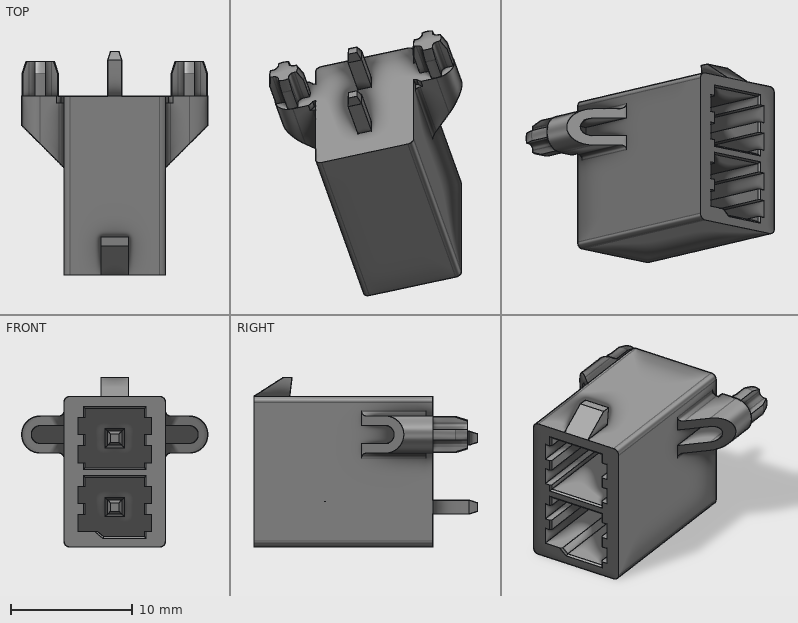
import cadquery as cq
import math


body_width = 8.4
body_length = 14.8
body_height = 12.47
body_corner_radius = 0.5

pin_pitch = 5.7
lower_pin_z = 3.31
pin_heights = [lower_pin_z, lower_pin_z + pin_pitch]
pin_size = 1.17
pin_tip_size = 0.7
pin_taper_length = 0.7
pin_front_y = 5.55
pin_rear_y = 18.5

pocket_size = 4.9
pocket_half = pocket_size / 2
pocket_depth = 11.1
lead_in = 0.15
slot_span = 6.07
slot_height = 1.42
upper_slot_bottom = 0.3
lower_slot_bottom = -2.04
pin_seat_size = 1.6
pin_seat_depth = (pin_seat_size - pin_size) / 2

key_top = lower_slot_bottom
key_top_x = -1.4
key_flank_angle = math.radians(40)
key_bottom_x = key_top_x + (key_top + pocket_half) / math.tan(key_flank_angle)

latch_width = 2.3
latch_height = 1.55
latch_crest_front_y = 2.42
latch_crest_rear_y = 3.16
latch_base_rear_y = 2.98

ear_span = 15.4
ear_radius = 1.54
ear_z = 9.3
ear_axis_x = ear_span / 2 - ear_radius
ear_root_radius = 0.4
ear_tip_length = 2.4
ear_slot_radius = 0.74
ear_slot_floor_thickness = 1.0
relief_length = 0.55
relief_width = 0.63
relief_flat_width = 0.25
relief_floor_rise = 0.1
relief_depth = 0.37
relief_crown = 0.04

peg_radius = 1.5
peg_tip_radius = 1.18
peg_length = 2.87
peg_taper_length = 1.0
peg_arm_width = 0.87
peg_arm_fillet = 0.5


def plane_at(y, z=0.0, x=0.0):
    """XZ sketch plane whose extrusions run toward +Y, with local X along -X and local Y along +Z."""
    return cq.Workplane(cq.Plane(origin=(x, y, z), xDir=(-1, 0, 0), normal=(0, 1, 0)))


def block(width, y_start, y_end, z_bottom, height):
    """Box centred on X = 0 between two Y positions."""
    return cq.Workplane("XY").box(width, y_end - y_start, height, centered=(True, False, False)).translate(
        (0, y_start, z_bottom)
    )


def square_frustum(y_start, size_start, y_end, size_end, z):
    """Square pyramid frustum along Y."""
    return (
        plane_at(y_start, z)
        .rect(size_start, size_start)
        .workplane(offset=y_end - y_start)
        .rect(size_end, size_end)
        .loft(ruled=True)
    )


def make_pin(z):
    """Square contact with a tapered point at both ends."""
    shank_front_y = pin_front_y + pin_taper_length
    shank_rear_y = pin_rear_y - pin_taper_length
    front_tip = square_frustum(pin_front_y, pin_tip_size, shank_front_y, pin_size, z)
    shank = block(pin_size, shank_front_y, shank_rear_y, z - pin_size / 2, pin_size)
    rear_tip = square_frustum(shank_rear_y, pin_size, pin_rear_y, pin_tip_size, z)
    return shank.union(front_tip).union(rear_tip)


def pocket_outline(grow, keyed):
    """Pocket corners as (x, z) from the pin axis, grown outward except along the top of the key."""
    half = pocket_half + grow
    corners = [(-half, half), (half, half), (half, -half)]
    if keyed:
        corners.append((key_bottom_x - grow * math.tan(key_flank_angle / 2), -half))
        corners.append((key_top_x - grow / math.sin(key_flank_angle), key_top))
        corners.append((-half, key_top))
    else:
        corners.append((-half, -half))
    return corners


def outline_on(plane, corners):
    """Closed polygon from (x, z) corners on a plane made by plane_at."""
    return plane.polyline([(-x, z) for x, z in corners]).close()


def make_pocket(pin_z, keyed):
    """Cutter for one pocket: core, lead-in chamfer, side slots and pin seat."""
    core = outline_on(plane_at(0, pin_z), pocket_outline(0, keyed)).extrude(pocket_depth)
    mouth = outline_on(plane_at(0, pin_z), pocket_outline(lead_in, keyed)).workplane(offset=lead_in)
    funnel = outline_on(mouth, pocket_outline(0, keyed)).loft(ruled=True)
    pocket = core.union(funnel)
    for slot_bottom in (upper_slot_bottom, lower_slot_bottom):
        pocket = pocket.union(block(slot_span, 0, pocket_depth, pin_z + slot_bottom, slot_height))
    seat = square_frustum(pocket_depth, pin_seat_size, pocket_depth + pin_seat_depth, pin_size, pin_z)
    return pocket.union(seat)


def make_latch():
    """Wedge that rises from the mating face to a narrow crest."""
    profile = [
        (0, body_height),
        (latch_crest_front_y, body_height + latch_height),
        (latch_crest_rear_y, body_height + latch_height),
        (latch_base_rear_y, body_height),
    ]
    return cq.Workplane("YZ").polyline(profile).close().extrude(latch_width / 2, both=True)


def make_relief(side_sign):
    """Cutter for the rear notch between the ear and the housing wall, above (+1) or below (-1) the ear."""
    wall_x = body_width / 2
    ear_face_z = ear_z + side_sign * ear_radius
    floor_z = ear_face_z - side_sign * relief_depth
    outer_z = ear_face_z + side_sign * ear_root_radius
    middle_x = wall_x + (relief_flat_width + relief_width) / 2
    middle_z = (ear_face_z + floor_z) / 2 + side_sign * relief_crown
    return (
        plane_at(body_length - relief_length)
        .moveTo(-wall_x, outer_z)
        .lineTo(-wall_x, floor_z - side_sign * relief_floor_rise)
        .lineTo(-(wall_x + relief_flat_width), floor_z)
        .threePointArc((-middle_x, middle_z), (-(wall_x + relief_width), ear_face_z))
        .lineTo(-(wall_x + relief_width), outer_z)
        .close()
        .extrude(relief_length)
    )


def make_ear():
    """Mounting ear on the +X side: round-ended, filleted to the wall, sloped and slotted in front."""
    wall_x = body_width / 2
    ear_tip_x = ear_span / 2
    ear_length = ear_tip_length + ear_tip_x - wall_x
    front_y = body_length - ear_length
    top_z = ear_z + ear_radius
    bottom_z = ear_z - ear_radius
    root_x = wall_x + ear_root_radius
    root_sag = ear_root_radius * (1 - math.sqrt(0.5))

    ear = (
        plane_at(front_y)
        .moveTo(-wall_x, top_z + ear_root_radius)
        .threePointArc((-(wall_x + root_sag), top_z + root_sag), (-root_x, top_z))
        .lineTo(-ear_axis_x, top_z)
        .threePointArc((-ear_tip_x, ear_z), (-ear_axis_x, bottom_z))
        .lineTo(-root_x, bottom_z)
        .threePointArc((-(wall_x + root_sag), bottom_z - root_sag), (-wall_x, bottom_z - ear_root_radius))
        .close()
        .extrude(ear_length)
    )
    slope = (
        cq.Workplane("XY")
        .polyline([(wall_x, front_y), (ear_tip_x, body_length - ear_tip_length), (ear_tip_x, front_y)])
        .close()
        .extrude(body_height)
    )
    slot_length = ear_length - ear_slot_floor_thickness
    slot_round = plane_at(front_y, ear_z, ear_axis_x).circle(ear_slot_radius).extrude(slot_length)
    slot_straight = (
        cq.Workplane("XY")
        .box(ear_axis_x - wall_x, slot_length, 2 * ear_slot_radius, centered=(False, False, True))
        .translate((wall_x, front_y, ear_z))
    )
    ear = ear.cut(slope).cut(slot_round).cut(slot_straight)
    for side_sign in (1, -1):
        ear = ear.cut(make_relief(side_sign))
    return ear


def make_peg():
    """Cross-section peg with a conical tip, standing on the rear face of the +X ear."""
    arm_half = peg_arm_width / 2
    corner_block = arm_half + peg_arm_fillet
    peg_plane = plane_at(body_length, ear_z, ear_axis_x)
    arm_length = 2 * peg_radius
    cross = peg_plane.rect(arm_length, peg_arm_width).extrude(peg_length)
    cross = cross.union(peg_plane.rect(peg_arm_width, arm_length).extrude(peg_length))
    cross = cross.union(peg_plane.rect(2 * corner_block, 2 * corner_block).extrude(peg_length))
    corner_rounds = (
        peg_plane.rect(2 * corner_block, 2 * corner_block, forConstruction=True)
        .vertices()
        .circle(peg_arm_fillet)
        .extrude(peg_length)
    )
    envelope = (
        cq.Workplane("XY")
        .polyline(
            [
                (0, 0),
                (peg_radius, 0),
                (peg_radius, peg_length - peg_taper_length),
                (peg_tip_radius, peg_length),
                (0, peg_length),
            ]
        )
        .close()
        .revolve(360, (0, 0), (0, 1))
        .translate((ear_axis_x, body_length, ear_z))
    )
    return cross.cut(corner_rounds).intersect(envelope)


def make_housing():
    """Two-pocket connector shell with latch, ears, pegs and the passages for the contacts."""
    shell = block(body_width, 0, body_length, 0, body_height).edges("|Y").fillet(body_corner_radius)
    shell = shell.union(make_latch())
    right_mount = make_ear().union(make_peg())
    shell = shell.union(right_mount).union(right_mount.mirror("YZ"))
    for pin_z in pin_heights:
        shell = shell.cut(make_pocket(pin_z, keyed=pin_z == lower_pin_z))
        shell = shell.cut(make_pin(pin_z))
    return shell


housing = make_housing()
pins = [make_pin(pin_z) for pin_z in pin_heights]

result = cq.Compound.makeCompound([*housing.solids().vals(), *[pin.val() for pin in pins]])